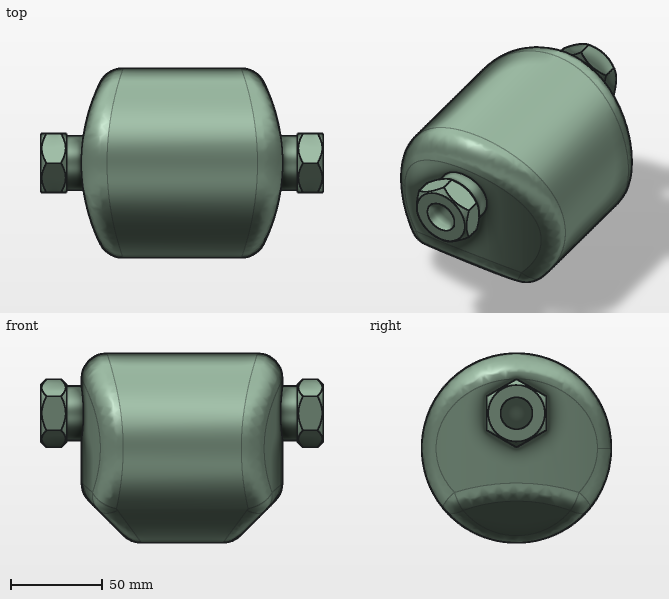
import cadquery as cq
import math

overall_length = 155.0
body_diameter = 104.0
body_length = 110.4
end_bow_radius = 100.0
edge_radius = 14.0
slope_start_z = -24.8

port_z = 19.0
neck_diameter = 30.0
nut_across_flats = 32.4
nut_length = 14.4
nut_face_diameter = 31.0
bore_diameter = 17.5
bore_depth = 22.0

body_radius = body_diameter / 2
half_body = body_length / 2
half_length = overall_length / 2
neck_root_x = half_body - edge_radius


def make_shell():
    """Cylinder trimmed by the end bows and the lower slopes, with rounded edges."""
    bow_centre_x = end_bow_radius - half_body
    half_depth = body_radius + edge_radius
    bow_edge_x = math.sqrt(end_bow_radius**2 - half_depth**2) - bow_centre_x
    plan = (
        cq.Workplane("XY").workplane(offset=-body_radius)
        .moveTo(-bow_edge_x, -half_depth)
        .lineTo(bow_edge_x, -half_depth)
        .threePointArc((half_body, 0), (bow_edge_x, half_depth))
        .lineTo(-bow_edge_x, half_depth)
        .threePointArc((-half_body, 0), (-bow_edge_x, -half_depth))
        .close()
        .extrude(body_diameter)
    )
    slope_bottom_x = half_body - (slope_start_z + body_radius)
    side = (
        cq.Workplane("XZ")
        .polyline([
            (-half_body, body_radius),
            (half_body, body_radius),
            (half_body, slope_start_z),
            (slope_bottom_x, -body_radius),
            (-slope_bottom_x, -body_radius),
            (-half_body, slope_start_z),
        ])
        .close()
        .extrude(body_radius, both=True)
    )
    round_body = cq.Workplane("YZ").circle(body_radius).extrude(half_body, both=True)
    return round_body.intersect(plan).intersect(side).edges().fillet(edge_radius)


def make_nut():
    """Hexagon nut on the +X end, flats facing Y, corners chamfered on both faces."""
    corner_diameter = nut_across_flats / math.cos(math.radians(30))
    chamfer = (corner_diameter - nut_face_diameter) / 2
    port = cq.Workplane("YZ", origin=(half_length - nut_length, 0, port_z))
    hexagon = port.transformed(rotate=(0, 0, 90)).polygon(6, corner_diameter).extrude(nut_length)
    turned = port.circle(corner_diameter / 2).extrude(nut_length).edges().chamfer(chamfer)
    return hexagon.intersect(turned)


def make_connection():
    """Neck and nut on the +X end."""
    neck_length = half_length - nut_length - neck_root_x
    neck = (
        cq.Workplane("YZ", origin=(neck_root_x, 0, port_z))
        .circle(neck_diameter / 2)
        .extrude(neck_length)
    )
    return neck.union(make_nut())


def make_bore():
    """Blind bore entering from the +X nut face."""
    return (
        cq.Workplane("YZ", origin=(half_length - bore_depth, 0, port_z))
        .circle(bore_diameter / 2)
        .extrude(bore_depth)
    )


vertical_axis = ((0, 0, 0), (0, 0, 1))

result = make_shell()
for turn in (0, 180):
    result = result.union(make_connection().rotate(*vertical_axis, turn))
    result = result.cut(make_bore().rotate(*vertical_axis, turn))